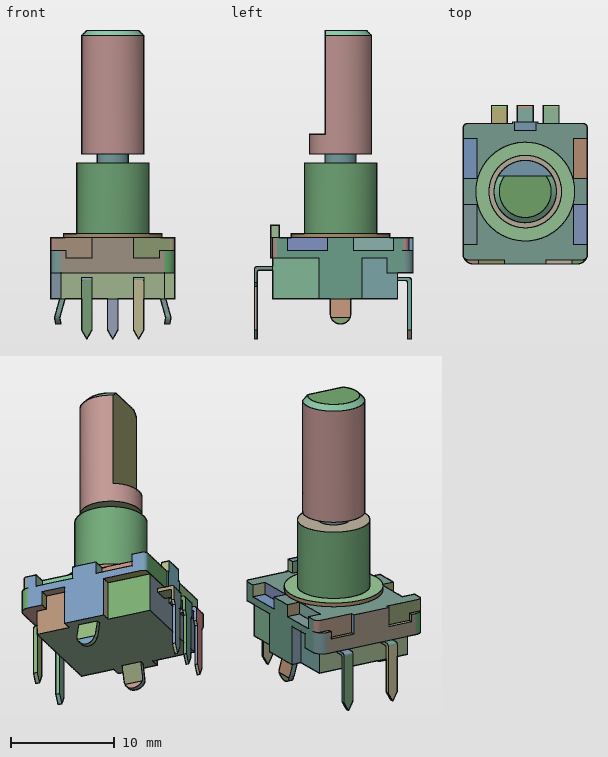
import cadquery as cq


overall_height = 29.75
shaft_top = 25.85
flat_bottom = 15.85
shaft_bottom = 13.92
bushing_top = 13.1
flange_top = 6.28
cover_top = 5.9
ledge_z = 4.67
skirt_z = 3.93
front_skirt_z = 2.5
pin_tip_z = shaft_top - overall_height

shaft_diameter = 6.0
shaft_chamfer = 0.5
flat_offset = 1.5
neck_diameter = 3.0
bushing_diameter = 7.0
flange_diameter = 9.52

cover_width = 12.0
cover_front = -7.0
cover_back = 6.57
upper_front = -6.57
front_corner_radius = 1.0
cover_corner_radius = 0.48
front_tongue_width = 4.0
front_skirt_back = -4.5
leg_width = 4.16

slot_outer_x = 4.52

pocket_depth = 1.37
pocket_near_y = 1.25
pocket_far_y = 5.12

tab_width = 2.1
tab_top = 7.08
tab_front = 5.9
tab_back = 6.72
tab_root_width = 2.5

base_width = 9.97
base_front = -5.5
base_back = 6.55

snap_width = 2.0
snap_thickness = 0.55
snap_root_x = 5.12
snap_bend_x = 5.62
snap_end_x = 5.5
snap_bend_z = -1.8
snap_end_z = -2.45

pin_pitch = 2.5
pin_width = 1.0
pin_taper = 0.9
pin_outer_bend_radius = 0.27
pin_inner_bend_radius = 0.18
pin_embed = 2
front_pin_outer = -6.85
front_pin_top = 2.05
front_pin_bar_thickness = 0.3
front_pin_leg_thickness = 1.4
back_pin_outer = 8.3
back_pin_top = 3.12
back_pin_bar_thickness = 0.4
back_pin_leg_thickness = 1
back_pin_wide = 1.55
back_pin_neck_top = 1.58
back_pin_neck_bottom = 1.15


def block(x_min, x_max, y_min, y_max, z_min, z_max):
    """Axis-aligned box given by its limits."""
    return (
        cq.Workplane("XY")
        .box(x_max - x_min, y_max - y_min, z_max - z_min, centered=False)
        .translate((x_min, y_min, z_min))
    )


def centred_block(width, y_min, y_max, z_min, z_max):
    """Box centred on X = 0."""
    return block(-width / 2, width / 2, y_min, y_max, z_min, z_max)


def cylinder(diameter, z_min, z_max):
    """Round bar on the shaft axis."""
    return cq.Workplane("XY").workplane(offset=z_min).circle(diameter / 2).extrude(z_max - z_min)


def both_sides(solid):
    """The solid together with its mirror image across the YZ plane."""
    return solid.union(solid.mirror("YZ"))


def make_shaft():
    d_shaft = cylinder(shaft_diameter, shaft_bottom, shaft_top).faces(">Z").chamfer(shaft_chamfer)
    flat = centred_block(shaft_diameter, flat_offset, shaft_diameter, flat_bottom, shaft_top)
    neck = cylinder(neck_diameter, bushing_top, shaft_bottom)
    bushing = cylinder(bushing_diameter, cover_top, bushing_top)
    flange = cylinder(flange_diameter, cover_top, flange_top)
    return d_shaft.cut(flat).union(neck).union(bushing).union(flange)


def make_cover():
    lower = centred_block(cover_width, cover_front, cover_back, front_skirt_z, ledge_z)
    lower = lower.edges("|Z and <Y").fillet(front_corner_radius)
    lower = lower.edges("|Z and >Y").fillet(cover_corner_radius)
    upper = centred_block(cover_width, upper_front, cover_back, ledge_z, cover_top)
    upper = upper.edges("|Z").fillet(cover_corner_radius)
    tongue = centred_block(front_tongue_width, cover_front, upper_front, ledge_z, cover_top)
    cover = lower.union(upper).union(tongue)

    cover = cover.cut(centred_block(cover_width, front_skirt_back, cover_back, front_skirt_z, skirt_z))

    slot = block(front_tongue_width / 2, slot_outer_x, cover_front, upper_front, skirt_z, ledge_z)
    cover = cover.cut(both_sides(slot))

    half_width = cover_width / 2
    pocket_floor_x = half_width - pocket_depth
    pocket = block(pocket_floor_x, half_width, pocket_near_y, pocket_far_y, ledge_z, cover_top)
    cover = cover.cut(both_sides(pocket.union(pocket.mirror("XZ"))))

    side_legs = centred_block(cover_width, -leg_width / 2, leg_width / 2, 0, skirt_z)
    tab_root = centred_block(tab_root_width, tab_front, tab_back, skirt_z, cover_top)
    tab = centred_block(tab_width, tab_front, tab_back, cover_top, tab_top)
    return cover.union(side_legs).union(tab_root).union(tab)


def make_snap_legs():
    outer = [(snap_root_x, 0), (snap_bend_x, snap_bend_z), (snap_end_x, snap_end_z)]
    inner = [(x - snap_thickness, z) for x, z in reversed(outer)]
    strip = cq.Workplane("XZ").polyline(outer + inner).close().extrude(snap_width / 2, both=True)
    round_z = snap_end_z + snap_width / 2
    end_outline = (
        cq.Workplane("YZ")
        .moveTo(-snap_width / 2, 0)
        .lineTo(-snap_width / 2, round_z)
        .threePointArc((0, snap_end_z), (snap_width / 2, round_z))
        .lineTo(snap_width / 2, 0)
        .close()
        .extrude(cover_width / 2)
    )
    return both_sides(strip.intersect(end_outline))


def bent_pin_profile(root_y, outer_y, top_z, bar_thickness, leg_thickness):
    """Full-width bar shaped like a pin from the side: out from the base, then bent down to the tip."""
    outward = 0.3 if outer_y > root_y else -0.3
    inner_y = outer_y - outward * leg_thickness
    root_y = root_y - outward * pin_embed
    bar_bottom = top_z - bar_thickness
    profile = (
        cq.Workplane("YZ")
        .polyline(
            [
                (root_y, top_z),
                (outer_y, top_z),
                (outer_y, pin_tip_z),
                (inner_y, pin_tip_z),
                (inner_y, bar_bottom),
                (root_y, bar_bottom),
            ]
        )
        .close()
        .extrude(cover_width / 2, both=True)
    )
    outer_corner = cq.selectors.NearestToPointSelector((0, outer_y, top_z))
    inner_corner = cq.selectors.NearestToPointSelector((0, inner_y, bar_bottom))
    profile = profile.edges("|X").edges(outer_corner).fillet(pin_outer_bend_radius)
    return profile.edges("|X").edges(inner_corner).fillet(pin_inner_bend_radius)


def pin_outline(x, head):
    """Long bar shaped like a pin from the front; head lists (half width, z) from the top down."""
    right = head + [(pin_width / 2, pin_tip_z + pin_taper)]
    left = [(-half_width, z) for half_width, z in reversed(right)]
    points = [(x + offset, z) for offset, z in right + [(0, pin_tip_z)] + left]
    return cq.Workplane("XZ").polyline(points).close().extrude(overall_height, both=True)


def make_pins():
    front_profile = bent_pin_profile(
        base_front, front_pin_outer, front_pin_top, front_pin_bar_thickness, front_pin_leg_thickness
    )
    back_profile = bent_pin_profile(
        base_back, back_pin_outer, back_pin_top, back_pin_bar_thickness, back_pin_leg_thickness
    )
    front_head = [(pin_width / 2, front_pin_top)]
    back_head = [
        (back_pin_wide / 2, back_pin_top),
        (back_pin_wide / 2, back_pin_neck_top),
        (pin_width / 2, back_pin_neck_bottom),
    ]
    front_pins = [front_profile.intersect(pin_outline(x, front_head)) for x in (-pin_pitch, pin_pitch)]
    back_pins = [back_profile.intersect(pin_outline(x, back_head)) for x in (-pin_pitch, 0, pin_pitch)]
    return front_pins + back_pins


base = centred_block(base_width, base_front, base_back, 0, skirt_z)
result = base.union(make_cover()).union(make_shaft()).union(make_snap_legs())
for pin in make_pins():
    result = result.union(pin)